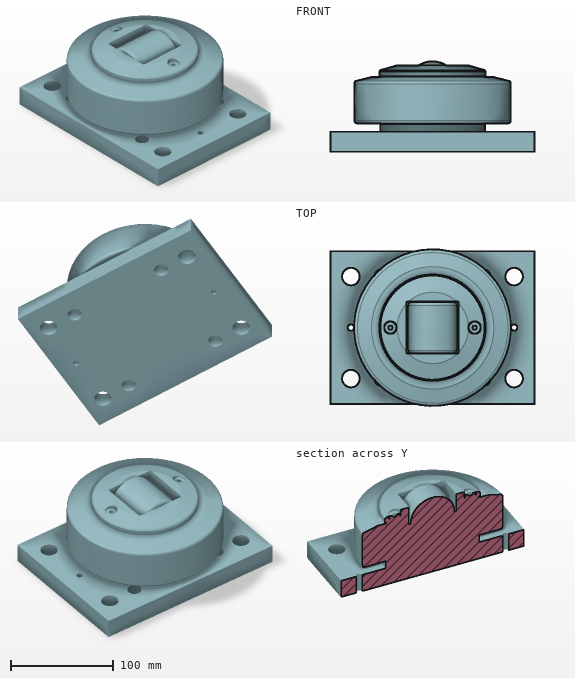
import cadquery as cq
import math

plate_length = 200.0
plate_width = 150.0
plate_height = 20.0

corner_hole_diameter = 17.0
corner_hole_x = 80.0
corner_hole_y = 50.0
inner_hole_diameter = 13.84
inner_hole_offset = 50.0
pin_hole_diameter = 6.0
pin_hole_x = 80.0

neck_diameter = 103.0
neck_top = 27.2
core_diameter = 101.2
cover_diameter = 104.5
cover_bottom = 74.0
cover_cone_bottom = 80.3
cover_edge_height = 1.5
cover_edge_inset = 1.25
cover_flat_diameter = 70.0
cover_top = 85.0

ring_diameter = 153.8
ring_bottom = 27.9
ring_height = 45.6
ring_crown_radius = 1500.0
ring_edge_radius = 3.0
ring_face_height = 36.0
ring_cone_height = 3.5
ring_flat_diameter = 120.0

roller_top = 89.0
roller_diameter = 48.5
roller_length = 50.0
roller_crown_radius = 1000.0
roller_edge_radius = 3.0
pocket_size = 51.5
pocket_corner_radius = 2.0

screw_x = 41.3
counterbore_diameter = 12.4
screw_head_diameter = 11.7
screw_head_height = 3.0
screw_head_top = 81.0
socket_sides = 6
socket_flats = 4.0
socket_depth = 2.0

ring_radius = ring_diameter / 2
ring_top = ring_bottom + ring_height
roller_radius = roller_diameter / 2
roller_axis_z = roller_top - roller_radius


def crown_drop(crown_radius, distance):
    """Drop of a crowned face at a distance from its highest point."""
    return crown_radius - math.sqrt(crown_radius**2 - distance**2)


def make_plate():
    plate = cq.Workplane("XY").box(
        plate_length, plate_width, plate_height, centered=(True, True, False)
    )
    hole_patterns = [
        (corner_hole_diameter, 2 * corner_hole_x, 2 * corner_hole_y),
        (inner_hole_diameter, 2 * inner_hole_offset, 2 * inner_hole_offset),
    ]
    for diameter, spacing_x, spacing_y in hole_patterns:
        plate = plate.faces(">Z").workplane().rarray(spacing_x, spacing_y, 2, 2).hole(diameter)
    return plate.faces(">Z").workplane().rarray(2 * pin_hole_x, 1, 2, 1).hole(pin_hole_diameter)


def make_pivot():
    neck_radius = neck_diameter / 2
    core_radius = core_diameter / 2
    cover_radius = cover_diameter / 2
    profile = (
        cq.Workplane("XZ")
        .moveTo(0, plate_height)
        .lineTo(neck_radius, plate_height)
        .lineTo(neck_radius, neck_top)
        .lineTo(core_radius, neck_top)
        .lineTo(core_radius, cover_bottom)
        .lineTo(cover_radius, cover_bottom)
        .lineTo(cover_radius, cover_cone_bottom - cover_edge_height)
        .lineTo(cover_radius - cover_edge_inset, cover_cone_bottom)
        .lineTo(cover_flat_diameter / 2, cover_top)
        .lineTo(0, cover_top)
        .close()
    )
    return profile.revolve(360, (0, 0, 0), (0, 1, 0))


def make_ring():
    face_bottom = ring_bottom + ring_edge_radius
    face_top = face_bottom + ring_face_height
    face_middle = face_bottom + ring_face_height / 2
    edge_radius = ring_radius - crown_drop(ring_crown_radius, ring_face_height / 2)
    shoulder_radius = edge_radius - ring_edge_radius
    bore_radius = core_diameter / 2
    profile = (
        cq.Workplane("XZ")
        .moveTo(bore_radius, ring_bottom)
        .lineTo(shoulder_radius, ring_bottom)
        .radiusArc((edge_radius, face_bottom), -ring_edge_radius)
        .threePointArc((ring_radius, face_middle), (edge_radius, face_top))
        .radiusArc((shoulder_radius, ring_top - ring_cone_height), -ring_edge_radius)
        .lineTo(ring_flat_diameter / 2, ring_top)
        .lineTo(bore_radius, ring_top)
        .close()
    )
    return profile.revolve(360, (0, 0, 0), (0, 1, 0))


def make_pocket():
    pocket_depth = cover_top - roller_axis_z
    return (
        cq.Workplane("XY", origin=(0, 0, roller_axis_z))
        .rect(pocket_size, pocket_size)
        .extrude(pocket_depth)
        .edges("|Z")
        .fillet(pocket_corner_radius)
    )


def make_roller():
    half_length = roller_length / 2
    half_face = half_length - roller_edge_radius
    edge_radius = roller_radius - crown_drop(roller_crown_radius, half_face)
    end_radius = edge_radius - roller_edge_radius
    profile = (
        cq.Workplane("XY", origin=(0, 0, roller_axis_z))
        .moveTo(0, -half_length)
        .lineTo(end_radius, -half_length)
        .radiusArc((edge_radius, -half_face), -roller_edge_radius)
        .threePointArc((roller_radius, 0), (edge_radius, half_face))
        .radiusArc((end_radius, half_length), -roller_edge_radius)
        .lineTo(0, half_length)
        .close()
    )
    return profile.revolve(360, (0, 0, 0), (0, 1, 0))


def add_screw(body, x):
    """Sink a socket-head screw into the cover at the given X."""
    seat_z = screw_head_top - screw_head_height
    seat = cq.Workplane("XY", origin=(x, 0, seat_z))
    counterbore = seat.circle(counterbore_diameter / 2).extrude(cover_top - seat_z)
    head = seat.circle(screw_head_diameter / 2).extrude(screw_head_height)
    socket_corner_diameter = socket_flats / math.cos(math.pi / socket_sides)
    socket = head.faces(">Z").workplane().polygon(socket_sides, socket_corner_diameter)
    head = socket.cutBlind(-socket_depth)
    return body.cut(counterbore).union(head)


result = make_plate().union(make_pivot()).union(make_ring())
result = result.cut(make_pocket()).union(make_roller())
for screw_position in (-screw_x, screw_x):
    result = add_screw(result, screw_position)